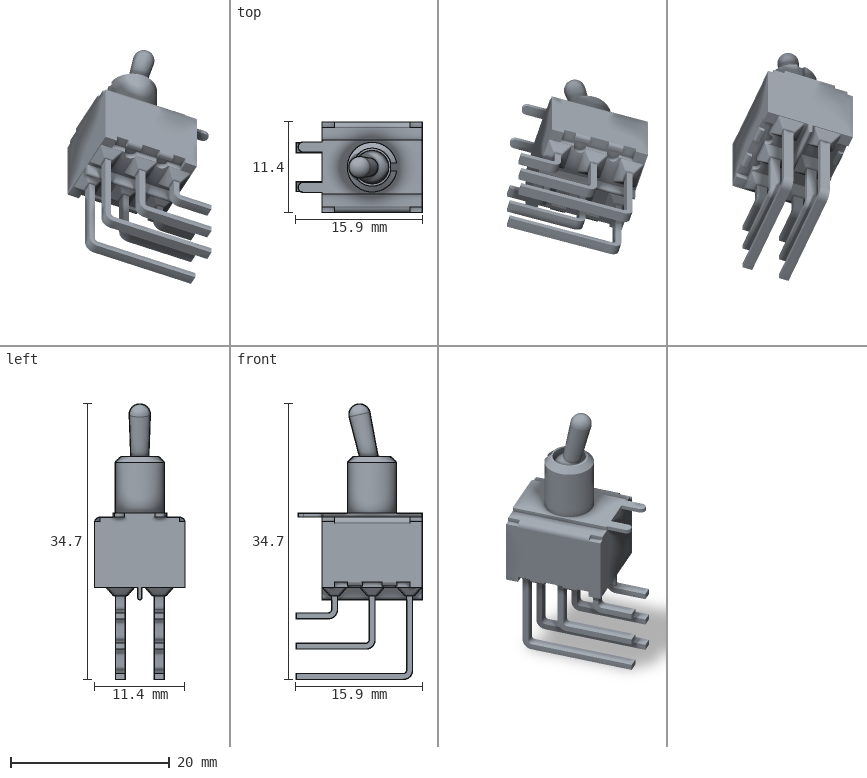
import cadquery as cq
import math


HOUSING_X = 12.67
HOUSING_Y = 11.42
HOUSING_Z = 8.9
EDGE_LENGTH = 9.5
EDGE_RADIUS = 0.73
CORNER_STEP_Z = 0.52

NOTCH_Y = 1.45
NOTCH_Z = 0.73
TAB_X = 1.9
TAB_Y = 0.73
TAB_BOTTOM_Z = 0.2
TAB_RADIUS = 0.4
TAB_PITCH = 4.35
GROOVE_DIAMETER = 1.55

RIB_Y = 0.52
RIB_DEPTH = 1.53

PLATE_Y = 6.8
PLATE_Z = 0.52
PLATE_CORNER_RADIUS = 0.2
TONGUE_Y = 1.3
TONGUE_TIP_X = -9.3

BUSHING_DIAMETER = 6.25
BUSHING_TOP_Z = 16.52
BUSHING_CHAMFER = 0.73
KEYWAY_WIDTH = 1.0
KEYWAY_FLOOR_X = 2.3

BALL_DIAMETER = 4.2
BALL_BELOW_RIM = 1.87
LEVER_TILT = 12.5
LEVER_ROOT_DIAMETER = 2.2
LEVER_TIP_DIAMETER = 2.7
LEVER_TOP_Z = 23.15

OVERALL_X = 15.9
TERMINAL_X = 0.75
TERMINAL_Y = 1.3
TERMINAL_PITCH_X = 4.72
TERMINAL_PITCH_Y = 4.9
TERMINAL_END_X = HOUSING_X / 2 - OVERALL_X
TERMINAL_INNER_RADIUS = 0.4
OVERALL_Z = 34.7
LOWEST_Z = LEVER_TOP_Z - OVERALL_Z
TERMINAL_PITCH_Z = 3.82

SEAL_X = 3.02
SEAL_Y = 3.55
SEAL_DEPTH = 1.05
SEAL_TAPER = 42
SEAL_EDGE_RADIUS = 0.3

PLATE_TOP_Z = HOUSING_Z + PLATE_Z
BALL_CENTER_Z = BUSHING_TOP_Z - BALL_BELOW_RIM
SIDES = (-1, 1)
ARC_MIDPOINT = math.sqrt(0.5)


def box(size_x, size_y, size_z, x, y, bottom_z):
    """Box centred on (x, y), standing on bottom_z."""
    block = cq.Workplane("XY").box(size_x, size_y, size_z, centered=(True, True, False))
    return block.translate((x, y, bottom_z))


def housing_block():
    """Block whose long top edges are rounded in the middle and stepped down at the corners."""
    core = box(HOUSING_X, HOUSING_Y - 2 * EDGE_RADIUS, HOUSING_Z, 0, 0, 0)
    rounded_middle = box(EDGE_LENGTH, HOUSING_Y, HOUSING_Z, 0, 0, 0).edges("|X and >Z").fillet(EDGE_RADIUS)
    stepped_ends = box(HOUSING_X, HOUSING_Y, HOUSING_Z - CORNER_STEP_Z, 0, 0, 0)
    for side_y in SIDES:
        y = side_y * (HOUSING_Y - EDGE_RADIUS) / 2
        stepped_ends = stepped_ends.cut(box(EDGE_LENGTH, EDGE_RADIUS, HOUSING_Z, 0, y, 0))
    return core.union(rounded_middle).union(stepped_ends).clean()


def edge_tab(x, side_y):
    """Tab hanging in a notch, flush with the wall and rounded under its outer edge."""
    tab = box(TAB_X, TAB_Y, NOTCH_Z - TAB_BOTTOM_Z, x, side_y * (HOUSING_Y - TAB_Y) / 2, TAB_BOTTOM_Z)
    outer_edge = ">Y" if side_y > 0 else "<Y"
    return tab.edges("|X and <Z").edges(outer_edge).fillet(TAB_RADIUS)


def notch_lower_edges(block):
    inner_wall_y = HOUSING_Y / 2 - NOTCH_Y
    for side_y in SIDES:
        block = block.cut(box(EDGE_LENGTH, NOTCH_Y, NOTCH_Z, 0, side_y * (HOUSING_Y - NOTCH_Y) / 2, 0))
        for side_x in SIDES:
            x = side_x * TAB_PITCH / 2
            groove_center = cq.Workplane("XY").center(x, side_y * inner_wall_y)
            groove = groove_center.circle(GROOVE_DIAMETER / 2).extrude(NOTCH_Z)
            block = block.cut(groove).union(edge_tab(x, side_y))
    return block


def divider_rib():
    """Rib along X with a fully rounded lower edge."""
    rib = box(HOUSING_X, RIB_Y, RIB_DEPTH - RIB_Y / 2, 0, 0, RIB_Y / 2 - RIB_DEPTH)
    round_edge = (
        cq.Workplane("YZ")
        .center(0, RIB_Y / 2 - RIB_DEPTH)
        .circle(RIB_Y / 2)
        .extrude(HOUSING_X / 2, both=True)
    )
    return rib.union(round_edge)


def mounting_plate():
    plate = box(HOUSING_X, PLATE_Y, PLATE_Z, 0, 0, HOUSING_Z)
    plate = plate.edges("|Z").fillet(PLATE_CORNER_RADIUS)
    tip_center_x = TONGUE_TIP_X + TONGUE_Y / 2
    tongue_y = PLATE_Y / 2 - PLATE_CORNER_RADIUS - TONGUE_Y / 2
    for side_y in SIDES:
        y = side_y * tongue_y
        tip = cq.Workplane("XY", origin=(tip_center_x, y, HOUSING_Z)).circle(TONGUE_Y / 2).extrude(PLATE_Z)
        tongue = box(-tip_center_x, TONGUE_Y, PLATE_Z, tip_center_x / 2, y, HOUSING_Z)
        plate = plate.union(tongue).union(tip)
    return plate


def bushing():
    barrel = (
        cq.Workplane("XY", origin=(0, 0, PLATE_TOP_Z))
        .circle(BUSHING_DIAMETER / 2)
        .extrude(BUSHING_TOP_Z - PLATE_TOP_Z)
        .faces(">Z")
        .chamfer(BUSHING_CHAMFER)
    )
    keyway_depth = BUSHING_DIAMETER / 2 - KEYWAY_FLOOR_X
    keyway = box(
        keyway_depth, KEYWAY_WIDTH, BUSHING_TOP_Z - PLATE_TOP_Z,
        KEYWAY_FLOOR_X + keyway_depth / 2, 0, PLATE_TOP_Z,
    )
    return barrel.cut(keyway)


def ball():
    return cq.Workplane("XY").sphere(BALL_DIAMETER / 2).translate((0, 0, BALL_CENTER_Z))


def ball_socket():
    """Bore that ends in a hemispherical seat for the ball."""
    socket_center = cq.Workplane("XY", origin=(0, 0, BALL_CENTER_Z))
    bore = socket_center.circle(BALL_DIAMETER / 2).extrude(BALL_BELOW_RIM)
    lower_half = box(BALL_DIAMETER, BALL_DIAMETER, BALL_DIAMETER, 0, 0, BALL_CENTER_Z - BALL_DIAMETER)
    seat = ball().intersect(lower_half)
    return bore.union(seat)


def sealing_pyramid(x, y):
    """Rounded pyramid that narrows downward around a terminal root."""
    pyramid = cq.Workplane("XY").rect(SEAL_X, SEAL_Y).extrude(-SEAL_DEPTH, taper=SEAL_TAPER)
    return pyramid.edges("not >Z").fillet(SEAL_EDGE_RADIUS).translate((x, y, 0))


def terminal(x, y, bottom_z):
    """Strip that drops from the housing and bends toward -X."""
    right = x + TERMINAL_X / 2
    left = x - TERMINAL_X / 2
    top_of_foot = bottom_z + TERMINAL_X
    outer_radius = TERMINAL_INNER_RADIUS + TERMINAL_X
    bend_x = left - TERMINAL_INNER_RADIUS
    bend_z = top_of_foot + TERMINAL_INNER_RADIUS
    return (
        cq.Workplane("XZ", origin=(0, y, 0))
        .moveTo(right, 0)
        .lineTo(right, bend_z)
        .threePointArc(
            (bend_x + outer_radius * ARC_MIDPOINT, bend_z - outer_radius * ARC_MIDPOINT),
            (bend_x, bottom_z),
        )
        .lineTo(TERMINAL_END_X, bottom_z)
        .lineTo(TERMINAL_END_X, top_of_foot)
        .lineTo(bend_x, top_of_foot)
        .threePointArc(
            (bend_x + TERMINAL_INNER_RADIUS * ARC_MIDPOINT, bend_z - TERMINAL_INNER_RADIUS * ARC_MIDPOINT),
            (left, bend_z),
        )
        .lineTo(left, 0)
        .close()
        .extrude(TERMINAL_Y / 2, both=True)
    )


def switch_body():
    body = notch_lower_edges(housing_block())
    body = body.union(divider_rib()).union(mounting_plate()).union(bushing()).cut(ball_socket())
    for side_y in SIDES:
        y = side_y * TERMINAL_PITCH_Y / 2
        for column in (-1, 0, 1):
            x = column * TERMINAL_PITCH_X
            bottom_z = LOWEST_Z + (1 - column) * TERMINAL_PITCH_Z
            body = body.union(sealing_pyramid(x, y)).union(terminal(x, y, bottom_z))
    return body


def toggle_lever():
    """Ball with a tapered, round-ended handle tilted toward -X."""
    tip_radius = LEVER_TIP_DIAMETER / 2
    handle_length = (LEVER_TOP_Z - tip_radius - BALL_CENTER_Z) / math.cos(math.radians(LEVER_TILT))
    handle = (
        cq.Workplane("XZ")
        .lineTo(LEVER_ROOT_DIAMETER / 2, 0)
        .lineTo(tip_radius, handle_length)
        .threePointArc(
            (tip_radius * ARC_MIDPOINT, handle_length + tip_radius * ARC_MIDPOINT),
            (0, handle_length + tip_radius),
        )
        .close()
        .revolve(360, (0, 0, 0), (0, 1, 0))
        .rotate((0, 0, 0), (0, 1, 0), -LEVER_TILT)
        .translate((0, 0, BALL_CENTER_Z))
    )
    return ball().union(handle)


housing = switch_body()
lever = toggle_lever()

result = cq.Compound.makeCompound([housing.solids().val(), lever.solids().val()])